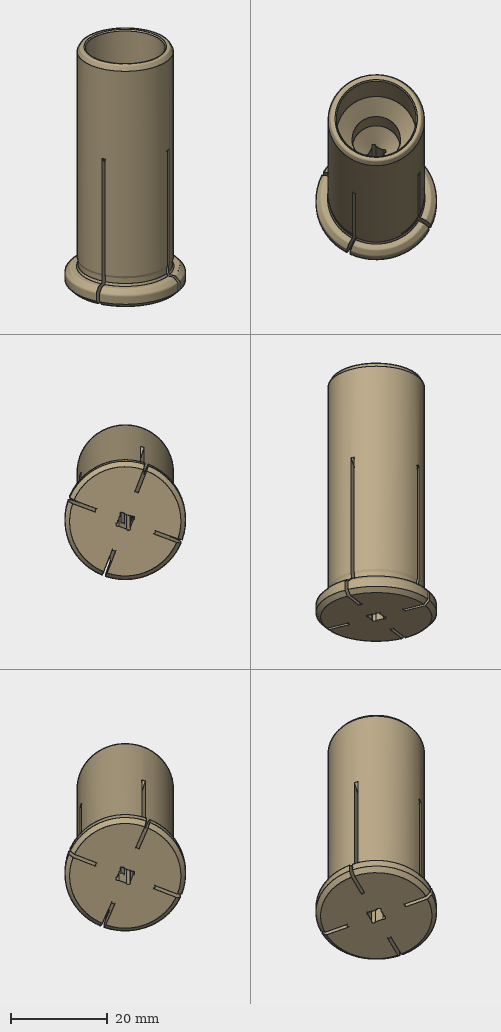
import cadquery as cq
import math

height = 54.0
sleeve_radius = 10.0
flange_diameter = 25.0
flange_radius = flange_diameter / 2
flange_height = 3.95
flange_lower_chamfer = 0.95
flange_upper_chamfer = 1.1
flange_edge_blend = 0.55

neck_radius = 9.85
neck_foot_width = 0.25
neck_foot_height = 0.55
groove_end = 6.15
groove_lead = 0.55

mouth_radius = 9.4
mouth_chamfer_height = 1.1
mouth_edge_blend = 0.45
bore_radius = 8.25
bore_chamfer = 0.25

bore_floor_edge = 44.15
pilot_diameter = 10.0
pilot_radius = pilot_diameter / 2
pilot_floor_edge = 35.1
floor_half_angle = math.radians(45)

square_side = 2.85
relief_radius = 0.405
relief_inset = 0.25

slot_width = 0.75
slot_top_at_sleeve = 32.5
slot_bottom_at_square = 5.2


def edges_at_height(level):
    """Select the edges lying in one horizontal plane."""
    reach = flange_radius + 0.55
    margin = 0.05
    return cq.selectors.BoxSelector(
        (-reach, -reach, level - margin),
        (reach, reach, level + margin),
        boundingbox=True,
    )


def make_body():
    """Revolve the sleeve with its groove and bevelled flange, then round the bevel edges."""
    upper_bevel_start = flange_height - flange_upper_chamfer
    upper_rim_radius = flange_radius - flange_upper_chamfer
    body = (
        cq.Workplane("XZ")
        .lineTo(flange_radius - flange_lower_chamfer, 0)
        .lineTo(flange_radius, flange_lower_chamfer)
        .lineTo(flange_radius, upper_bevel_start)
        .lineTo(upper_rim_radius, flange_height)
        .lineTo(neck_radius + neck_foot_width, flange_height)
        .lineTo(neck_radius, flange_height + neck_foot_height)
        .lineTo(neck_radius, groove_end - groove_lead)
        .lineTo(sleeve_radius, groove_end)
        .lineTo(sleeve_radius, height - mouth_chamfer_height)
        .lineTo(mouth_radius, height)
        .lineTo(0, height)
        .close()
        .revolve(360, (0, 0), (0, 1))
    )
    upper_rim = cq.selectors.RadiusNthSelector(1)
    body = body.edges(edges_at_height(flange_height)).edges(upper_rim).fillet(flange_edge_blend)
    body = body.edges(edges_at_height(upper_bevel_start)).fillet(flange_edge_blend)
    return body.edges(edges_at_height(height)).fillet(mouth_edge_blend)


def make_bore():
    """Revolve the mouth bore and the smaller pilot bore below it."""
    slope = 1 / math.tan(floor_half_angle)
    shoulder_edge = bore_floor_edge - (bore_radius - pilot_radius) * slope
    pilot_tip = pilot_floor_edge - pilot_radius * slope
    return (
        cq.Workplane("XZ")
        .moveTo(0, pilot_tip)
        .lineTo(pilot_radius, pilot_floor_edge)
        .lineTo(pilot_radius, shoulder_edge)
        .lineTo(bore_radius, bore_floor_edge)
        .lineTo(bore_radius, height - bore_chamfer)
        .lineTo(bore_radius + bore_chamfer, height)
        .lineTo(0, height)
        .close()
        .revolve(360, (0, 0), (0, 1))
    )


def make_square_hole():
    """Square prism with a relief cylinder near each corner."""
    relief_spacing = square_side - 2 * relief_inset
    square = cq.Workplane("XY").rect(square_side, square_side).extrude(pilot_floor_edge)
    reliefs = (
        cq.Workplane("XY")
        .rect(relief_spacing, relief_spacing, forConstruction=True)
        .vertices()
        .circle(relief_radius)
        .extrude(pilot_floor_edge)
    )
    return square.union(reliefs)


def make_slot():
    """Slot cutter along +X whose sloping ends close towards the axis."""
    slot_top_at_axis = slot_top_at_sleeve - sleeve_radius
    slot_bottom_at_axis = slot_bottom_at_square + square_side / 2
    reach = flange_radius + 0.55
    return (
        cq.Workplane("XZ")
        .moveTo(0, slot_bottom_at_axis)
        .lineTo(reach, slot_bottom_at_axis - reach)
        .lineTo(reach, slot_top_at_axis + reach)
        .lineTo(0, slot_top_at_axis)
        .close()
        .extrude(slot_width / 2, both=True)
    )


result = make_body().cut(make_bore()).cut(make_square_hole())
for angle in (0, 90, 180, 270):
    result = result.cut(make_slot().rotate((0, 0, 0), (0, 0, 1), angle))